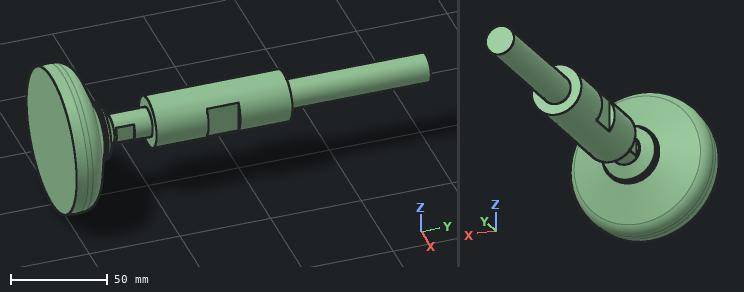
import cadquery as cq
import math

TOTAL_LENGTH = 206.5

PLATE_RADIUS = 40.0
BASE_RADIUS = 39.5
BASE_TAPER_HEIGHT = 6.2
RIM_TOP = 9.0
RIM_TOP_RADIUS = 39.75
SHOULDER_ROUND = 7.6
SHOULDER_SWEEP = math.radians(64)
CONE_ANGLE = math.radians(22)
CONE_TOP = 23.9

NECK_RADIUS = 14.6
NECK_BOTTOM = 25.2
COLLAR_BOTTOM = 25.6

LIP_RADIUS = 15.5
LIP_HEIGHT = 0.5
COLLAR_RADIUS = 14.9
COLLAR_TOP = 27.8
COLLAR_ROUND_RADIUS = 14.5
COLLAR_ROUND_TOP = 28.2
COLLAR_CONE_TOP = 31.9

ROD_DIAMETER = 16.0
ROD_FLATS_WIDTH = 13.0
ROD_FLATS_LENGTH = 10.0
ROD_FLATS_CENTER = 38.2

SLEEVE_DIAMETER = 28.0
SLEEVE_LENGTH = 75.0
SLEEVE_BOTTOM = 53.0
SLEEVE_FLATS_WIDTH = 22.0
SLEEVE_FLATS_LENGTH = 17.5
SLEEVE_CENTER = SLEEVE_BOTTOM + SLEEVE_LENGTH / 2


def cylinder_along_y(diameter, start, length):
    """Round bar on the Y axis from Y = start to Y = start + length."""
    bar = cq.Workplane("XZ", origin=(0, start, 0)).circle(diameter / 2)
    return bar.extrude(-length)


def cut_wrench_flats(body, diameter, width, center, length):
    """Cut a pair of flats, facing -X and +X, into a round body."""
    depth = (diameter - width) / 2
    for side in (-1, 1):
        cutter = cq.Workplane("XY").box(2 * depth, length, diameter)
        body = body.cut(cutter.translate((side * (width / 2 + depth), center, 0)))
    return body


def make_foot():
    """Plate, collar and rod turned in one piece."""
    round_center_radius = RIM_TOP_RADIUS - SHOULDER_ROUND

    def shoulder_point(angle):
        return (
            round_center_radius + SHOULDER_ROUND * math.cos(angle),
            RIM_TOP + SHOULDER_ROUND * math.sin(angle),
        )

    shoulder_radius, shoulder_top = shoulder_point(SHOULDER_SWEEP)
    cone_top_radius = shoulder_radius - (CONE_TOP - shoulder_top) / math.tan(CONE_ANGLE)

    profile = (
        cq.Workplane("XY")
        .moveTo(0, 0)
        .lineTo(BASE_RADIUS, 0)
        .lineTo(PLATE_RADIUS, BASE_TAPER_HEIGHT)
        .lineTo(RIM_TOP_RADIUS, RIM_TOP)
        .threePointArc(shoulder_point(SHOULDER_SWEEP / 2), (shoulder_radius, shoulder_top))
        .lineTo(cone_top_radius, CONE_TOP)
        .lineTo(NECK_RADIUS, NECK_BOTTOM)
        .lineTo(NECK_RADIUS, COLLAR_BOTTOM)
        .lineTo(LIP_RADIUS, COLLAR_BOTTOM)
        .lineTo(LIP_RADIUS, COLLAR_BOTTOM + LIP_HEIGHT)
        .lineTo(COLLAR_RADIUS, COLLAR_BOTTOM + LIP_HEIGHT)
        .lineTo(COLLAR_RADIUS, COLLAR_TOP)
        .lineTo(COLLAR_ROUND_RADIUS, COLLAR_ROUND_TOP)
        .lineTo(ROD_DIAMETER / 2, COLLAR_CONE_TOP)
        .lineTo(ROD_DIAMETER / 2, TOTAL_LENGTH)
        .lineTo(0, TOTAL_LENGTH)
        .close()
    )
    foot = profile.revolve(360, (0, 0, 0), (0, 1, 0))
    return cut_wrench_flats(foot, ROD_DIAMETER, ROD_FLATS_WIDTH, ROD_FLATS_CENTER, ROD_FLATS_LENGTH)


def make_sleeve():
    """Round sleeve bored to the rod's diameter, with flats at mid-length."""
    sleeve = cylinder_along_y(SLEEVE_DIAMETER, SLEEVE_BOTTOM, SLEEVE_LENGTH)
    sleeve = sleeve.cut(cylinder_along_y(ROD_DIAMETER, SLEEVE_BOTTOM, SLEEVE_LENGTH))
    return cut_wrench_flats(
        sleeve, SLEEVE_DIAMETER, SLEEVE_FLATS_WIDTH, SLEEVE_CENTER, SLEEVE_FLATS_LENGTH
    )


foot = make_foot()
sleeve = make_sleeve()

result = cq.Compound.makeCompound([foot.val(), sleeve.val()])